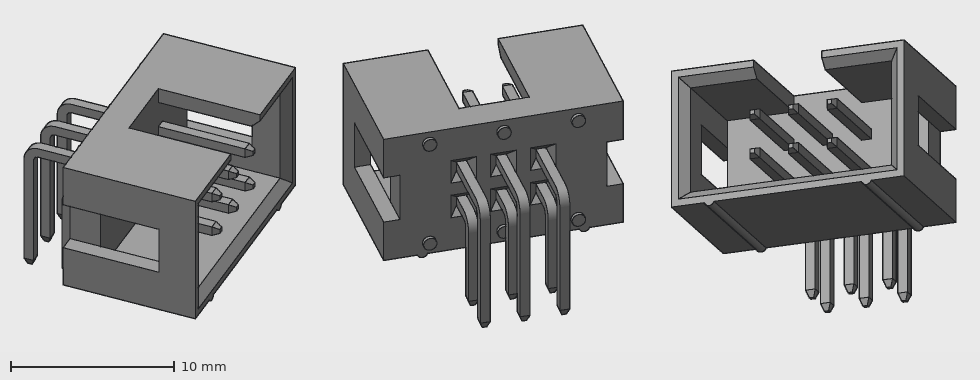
import cadquery as cq


housing_depth = 8.83
housing_width = 15.28
housing_height = 8.88
wall = 1.04
back_wall = 2.03
mouth_chamfer = 0.58
mid_height = housing_height / 2

key_slot_width = 4.48
window_end = 6.39
window_height = 3.24

pin_size = 0.64
pitch = 2.54
row_count = 2
column_count = 3
bend_radius = 1.0
tip_length = 0.46
tip_size = 0.29
pin_front_end = 8.3
lower_tail_reach = 1.86
tail_end = -2.95

pocket_size = 1.65
pocket_depth = (pocket_size - pin_size) / 2

standoff_diameter = 0.85
standoff_height = 0.25
standoff_columns = 3
standoff_rows = 2
standoff_spacing_y = 4.74
standoff_spacing_z = 7.25

rib_offset = 5.16
rib_width = 0.65
rib_height = 0.23


def block(x_start, x_end, width, z_bottom, z_top):
    """Box centred on Y = 0 between the given X and Z limits."""
    size = (x_end - x_start, width, z_top - z_bottom)
    return cq.Workplane("XY").box(*size, centered=(False, True, False)).translate((x_start, 0, z_bottom))


def square_taper(plane, start_size, end_size, length):
    """Square frustum starting on the plane and running along its normal."""
    return plane.rect(start_size, start_size).workplane(offset=length).rect(end_size, end_size).loft()


def plane_facing_x(x, y, z, direction=1):
    """Workplane at a point, with its normal along +X or -X."""
    return cq.Workplane(cq.Plane(origin=(x, y, z), xDir=(0, 1, 0), normal=(direction, 0, 0)))


def make_cavity():
    """Mating cavity, flaring out at its mouth."""
    width = housing_width - 2 * wall
    height = housing_height - 2 * wall
    cavity = block(back_wall, housing_depth, width, wall, wall + height)
    flare = (
        plane_facing_x(housing_depth - mouth_chamfer, 0, mid_height)
        .rect(width, height)
        .workplane(offset=mouth_chamfer)
        .rect(width + 2 * mouth_chamfer, height + 2 * mouth_chamfer)
        .loft()
    )
    return cavity.union(flare)


def make_side_windows():
    """Openings through both end walls, running back to the rear face."""
    bottom = mid_height - window_height / 2
    opening = block(0, window_end, housing_width, bottom, bottom + window_height)
    core = block(0, window_end, housing_width - 2 * wall, 0, housing_height)
    return opening.cut(core)


def make_housing():
    housing = block(0, housing_depth, housing_width, 0, housing_height)
    key_slot = block(back_wall, housing_depth, key_slot_width, mid_height, housing_height)
    return housing.cut(make_cavity()).cut(key_slot).cut(make_side_windows())


def make_rib(y):
    """Rounded rib along the underside of the housing."""
    return (
        cq.Workplane("YZ")
        .moveTo(y - rib_width / 2, 0)
        .threePointArc((y, -rib_height), (y + rib_width / 2, 0))
        .close()
        .extrude(housing_depth)
    )


def make_standoffs():
    return (
        plane_facing_x(0, 0, mid_height, -1)
        .rarray(standoff_spacing_y, standoff_spacing_z, standoff_columns, standoff_rows)
        .circle(standoff_diameter / 2)
        .extrude(standoff_height)
    )


def make_pin(y, z, tail_reach):
    """Right-angle square pin: straight mating end, bend and downward tail, both ends tapered."""
    half = pin_size / 2
    back = -tail_reach - half
    front = pin_front_end - tip_length
    bottom = tail_end + tip_length
    top = z + half
    pin = (
        cq.Workplane("XZ", origin=(0, y, 0))
        .moveTo(front, top)
        .lineTo(back + bend_radius, top)
        .radiusArc((back, top - bend_radius), -bend_radius)
        .lineTo(back, bottom)
        .lineTo(back + pin_size, bottom)
        .lineTo(back + pin_size, top - bend_radius)
        .radiusArc((back + bend_radius, top - pin_size), bend_radius - pin_size)
        .lineTo(front, top - pin_size)
        .close()
        .extrude(half, both=True)
    )
    front_tip = square_taper(plane_facing_x(front, y, z), pin_size, tip_size, tip_length)
    tail_plane = cq.Workplane("XY", origin=(-tail_reach, y, bottom))
    tail_tip = square_taper(tail_plane, pin_size, tip_size, -tip_length)
    return pin.union(front_tip).union(tail_tip)


result = make_housing().union(make_standoffs())
for side in (-1, 1):
    result = result.union(make_rib(side * rib_offset))

for row in range(row_count):
    pin_z = mid_height + (row - (row_count - 1) / 2) * pitch
    pin_tail_reach = lower_tail_reach + row * pitch
    for column in range(column_count):
        pin_y = (column - (column_count - 1) / 2) * pitch
        pocket = square_taper(plane_facing_x(0, pin_y, pin_z), pocket_size, pin_size, pocket_depth)
        result = result.cut(pocket).union(make_pin(pin_y, pin_z, pin_tail_reach))